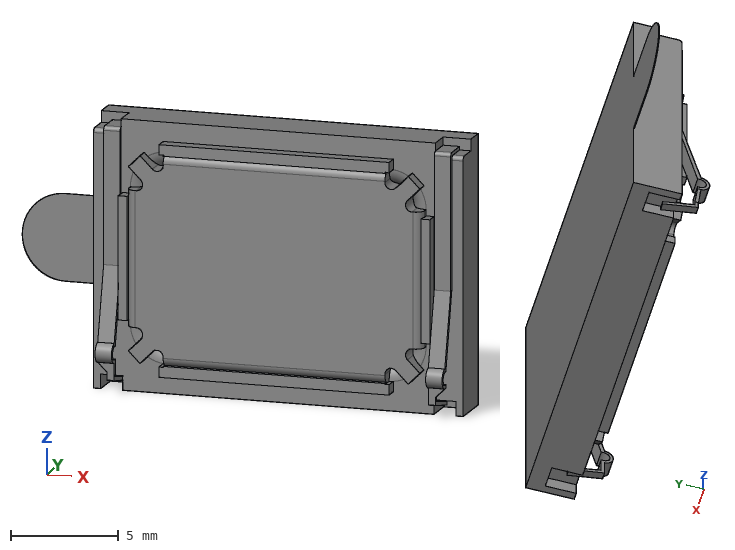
import cadquery as cq
import math

cos_45 = math.sqrt(0.5)

body_width = 18.0
body_height = 13.0
body_depth = 2.35
half_width = body_width / 2
half_height = body_height / 2
bottom_z = -half_height
front_y = -body_depth

tab_length = 4.2
tab_width = 4.2
tab_thickness = 0.05

cover_height = 0.65
cover_y = front_y - cover_height
cover_inset_x = 1.80
cover_inset_z = 1.42
cover_half_x = half_width - cover_inset_x
cover_half_z = half_height - cover_inset_z
cover_corner_radius = 1.8
cover_edge_fillet = 0.43

corner_x = cover_half_x - cover_corner_radius
corner_z = cover_half_z - cover_corner_radius

bar_overlap = 0.05
long_bar_length = 11.2
long_bar_width = 0.54
side_bar_length = 5.95
side_bar_width = 0.44

strap_width = 0.8
strap_reach = 2.0
relief_end_radius = 0.31
relief_roll_radius = 0.8
relief_depth = 0.8

seat_width = 1.35
seat_drop = 0.56
seat_depth = 1.2
seat_fillet = 0.2
contact_thickness = 0.17
contact_width = 0.8
contact_neck_width = 0.35
contact_elbow_radius = 0.18
contact_bend_z = bottom_z + 6.0
contact_leg_y = -3.43
contact_tip_y = -3.85
bump_center_z = bottom_z + 2.02
bump_half_height = 0.48
neck_bottom_z = bottom_z + 1.1
foot_bend_z = bottom_z + 0.71
foot_end_y = -1.7
foot_end_z = bottom_z + 0.32

notch_inner_inset = 1.42
notch_outer_inset = 0.35
notch_height = 0.7
notch_depth = 1.5


def box(x_range, y_range, z_range):
    """Box between the given limits along each axis."""
    size = [high - low for low, high in (x_range, y_range, z_range)]
    corner = (x_range[0], y_range[0], z_range[0])
    return cq.Workplane("XY").box(*size, centered=False).translate(corner)


def front_plane(y):
    """XZ sketch plane at the given Y; extrusion goes towards -Y."""
    return cq.Workplane("XZ", origin=(0, y, 0))


def both_ends(shape):
    """The shape together with its mirror image at the other X end."""
    return shape.union(shape.mirror("YZ"))


def four_corners(shape):
    """The shape repeated at all four corners."""
    pair = both_ends(shape)
    return pair.union(pair.mirror("XY"))


def make_body():
    return box((-half_width, half_width), (front_y, 0), (bottom_z, half_height))


def make_tab():
    """Round-ended tab lying flush with the back face."""
    length = tab_length + tab_width
    return (
        front_plane(0)
        .center(-half_width - tab_length + length / 2, 0)
        .slot2D(length, tab_width)
        .extrude(tab_thickness)
    )


def make_contact_seat():
    """Step at the top of the -X end, with its front edge left rounded."""
    floor_z = half_height - seat_drop
    x_range = (-half_width, -half_width + seat_width)
    seat = box(x_range, (front_y, front_y + seat_depth), (floor_z, half_height))
    edge_block = box(x_range, (front_y, front_y + seat_fillet), (floor_z - seat_fillet, floor_z))
    rounding = (
        cq.Workplane("YZ", origin=(x_range[0], front_y + seat_fillet, floor_z - seat_fillet))
        .circle(seat_fillet)
        .extrude(seat_width)
    )
    return seat.union(edge_block.cut(rounding))


def make_foot_notch():
    """Notch at the bottom of the -X end, open below and in front."""
    return box(
        (-half_width + notch_outer_inset, -half_width + notch_inner_inset),
        (front_y, front_y + notch_depth),
        (bottom_z, bottom_z + notch_height),
    )


def make_contact():
    """Spring contact at the -X end: bent side profile, narrowed towards its foot."""
    inner_x = -half_width + seat_width
    outer_x = inner_x - contact_width
    t = contact_thickness
    strip_y = front_y - t
    leg_back_y = front_y + seat_depth
    floor_z = half_height - seat_drop
    top_z = floor_z + t
    elbow_y = strip_y + contact_elbow_radius
    elbow_z = top_z - contact_elbow_radius
    outer_mid = (elbow_y - contact_elbow_radius * cos_45, elbow_z + contact_elbow_radius * cos_45)
    inner_y = front_y + seat_fillet
    inner_z = floor_z - seat_fillet
    inner_mid = (inner_y - seat_fillet * cos_45, inner_z + seat_fillet * cos_45)
    leg_inner_y = contact_leg_y + t
    bump_inner = bump_half_height - t
    profile = (
        cq.Workplane("YZ", origin=(outer_x, 0, 0))
        .moveTo(leg_back_y, top_z)
        .lineTo(elbow_y, top_z)
        .threePointArc(outer_mid, (strip_y, elbow_z))
        .lineTo(strip_y, contact_bend_z)
        .lineTo(contact_leg_y, bump_center_z + bump_half_height)
        .threePointArc((contact_tip_y, bump_center_z), (contact_leg_y, bump_center_z - bump_half_height))
        .lineTo(contact_leg_y, foot_bend_z)
        .lineTo(foot_end_y, foot_end_z)
        .lineTo(foot_end_y, foot_end_z + t)
        .lineTo(leg_inner_y, foot_bend_z + t)
        .lineTo(leg_inner_y, bump_center_z - bump_inner)
        .threePointArc((contact_tip_y + t, bump_center_z), (leg_inner_y, bump_center_z + bump_inner))
        .lineTo(front_y, contact_bend_z)
        .lineTo(front_y, inner_z)
        .threePointArc(inner_mid, (inner_y, floor_z))
        .lineTo(leg_back_y, floor_z)
        .close()
        .extrude(contact_width)
    )
    taper_z = bump_center_z - bump_half_height
    neck_x = inner_x - contact_neck_width
    neck_relief = (
        front_plane(0)
        .polyline([
            (outer_x, bottom_z),
            (neck_x, bottom_z),
            (neck_x, neck_bottom_z),
            (outer_x, taper_z),
        ])
        .close()
        .extrude(-contact_tip_y)
    )
    return profile.cut(neck_relief)


def make_cover():
    """Rounded rectangular plate with a rounded front edge."""
    return (
        front_plane(front_y)
        .rect(2 * cover_half_x, 2 * cover_half_z)
        .extrude(cover_height)
        .edges("|Y")
        .fillet(cover_corner_radius)
        .faces("<Y")
        .edges()
        .fillet(cover_edge_fillet)
    )


def make_bars():
    """Straight bars along the four sides of the cover."""
    long_z = cover_half_z - bar_overlap + long_bar_width / 2
    side_x = cover_half_x - bar_overlap + side_bar_width / 2
    long_bars = (
        front_plane(front_y)
        .pushPoints([(0, long_z), (0, -long_z)])
        .rect(long_bar_length, long_bar_width)
        .extrude(cover_height)
    )
    side_bars = (
        front_plane(front_y)
        .pushPoints([(side_x, 0), (-side_x, 0)])
        .rect(side_bar_width, side_bar_length)
        .extrude(cover_height)
    )
    return long_bars.union(side_bars)


def make_strap():
    """Diagonal strap from the +X +Z corner centre outwards."""
    return (
        front_plane(front_y)
        .transformed(offset=(corner_x, corner_z, 0), rotate=(0, 0, 45))
        .center(strap_reach / 2, 0)
        .rect(strap_reach, strap_width)
        .extrude(cover_height)
    )


def make_reliefs():
    """Two reliefs beside the +X +Z strap, on a floor that rolls down towards the corner centre."""
    apex = strap_width * cos_45
    reach = cover_corner_radius
    first = (
        front_plane(cover_y)
        .polyline([(0, apex), (0, apex + reach), (reach, apex + reach)])
        .close()
        .extrude(-cover_height - relief_depth)
        .edges("|Y and <Z")
        .fillet(relief_end_radius)
    )
    swap_x_and_z = cq.Vector(1, 0, -1)
    wedges = first.union(first.mirror(swap_x_and_z))
    roll = relief_roll_radius
    bowl = (
        cq.Workplane("XY")
        .moveTo(0, cover_y)
        .lineTo(cover_corner_radius, cover_y)
        .lineTo(cover_corner_radius, front_y)
        .threePointArc(
            (cover_corner_radius - roll * cos_45, front_y + roll * (1 - cos_45)),
            (cover_corner_radius - roll, front_y + relief_depth),
        )
        .lineTo(0, front_y + relief_depth)
        .close()
        .revolve(360, (0, 0), (0, 1))
    )
    return wedges.intersect(bowl).translate((corner_x, 0, corner_z))


base = make_body().cut(both_ends(make_contact_seat())).cut(both_ends(make_foot_notch()))
raised = make_cover().union(make_bars()).union(four_corners(make_strap()))
framed = base.union(raised).cut(four_corners(make_reliefs()))
result = framed.union(make_tab()).union(both_ends(make_contact()))